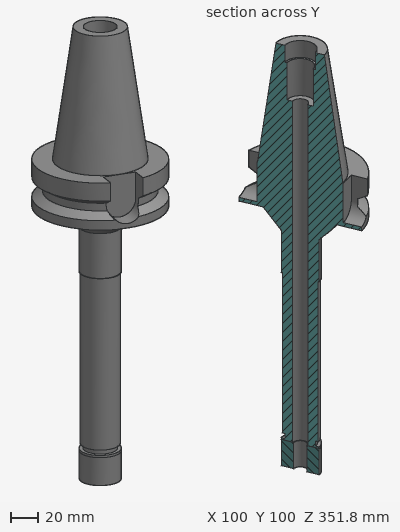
import cadquery as cq

TOTAL_HEIGHT = 351.8
NUT_HEIGHT = 21.8
COLLAR_TOP = 23.5
GROOVE_TOP = 27.5
SHAFT_TOP = 161.0
NECK_TOP = 196.3
FLANGE_BOTTOM = 212.0
FLANGE_TOP = 248.7
GAUGE_HEIGHT = 249.5

GAUGE_RADIUS = 35.0
TAPER_RATIO = 7 / 24
TOP_RADIUS = GAUGE_RADIUS - (TOTAL_HEIGHT - GAUGE_HEIGHT) * TAPER_RATIO / 2

FLANGE_RADIUS = 50.0
GRIP_RADIUS = 42.2
GRIP_FLOOR_BOTTOM = 224.0
GRIP_FLOOR_TOP = 230.0
GRIP_SIDE_SLOPE = 0.6
GRIP_SIDE_RISE = (FLANGE_RADIUS - GRIP_RADIUS) * GRIP_SIDE_SLOPE

SLOT_WIDTH = 25.7
SLOT_INNER_RADIUS = 35.2
SLOT_BOTTOM = 215.5

CONE_RADIUS = 30.3
NECK_RADIUS = 15.5
SHAFT_RADIUS = 14.8
GROOVE_RADIUS = 12.5

PULL_STUD_RADIUS = 12.3
PULL_STUD_DEPTH = 14.0
THREAD_RADIUS = 10.5
THREAD_DEPTH = 45.0
THROUGH_RADIUS = 6.0

NUT_RADIUS = 15.5
NUT_BORE_RADIUS = 5.3


def bore(radius, bottom, top):
    """Cylinder on the tool axis, used as a cutter."""
    return cq.Workplane("XY").workplane(offset=bottom).circle(radius).extrude(top - bottom)


def make_holder_blank():
    """Shank, flange, neck and shaft turned from one half profile."""
    profile = [
        (0, NUT_HEIGHT),
        (NUT_RADIUS, NUT_HEIGHT),
        (NUT_RADIUS, COLLAR_TOP),
        (GROOVE_RADIUS, COLLAR_TOP),
        (GROOVE_RADIUS, GROOVE_TOP),
        (SHAFT_RADIUS, GROOVE_TOP),
        (SHAFT_RADIUS, SHAFT_TOP),
        (NECK_RADIUS, SHAFT_TOP),
        (NECK_RADIUS, NECK_TOP),
        (CONE_RADIUS, FLANGE_BOTTOM),
        (FLANGE_RADIUS, FLANGE_BOTTOM),
        (FLANGE_RADIUS, GRIP_FLOOR_BOTTOM - GRIP_SIDE_RISE),
        (GRIP_RADIUS, GRIP_FLOOR_BOTTOM),
        (GRIP_RADIUS, GRIP_FLOOR_TOP),
        (FLANGE_RADIUS, GRIP_FLOOR_TOP + GRIP_SIDE_RISE),
        (FLANGE_RADIUS, FLANGE_TOP),
        (GAUGE_RADIUS, FLANGE_TOP),
        (GAUGE_RADIUS, GAUGE_HEIGHT),
        (TOP_RADIUS, TOTAL_HEIGHT),
        (0, TOTAL_HEIGHT),
    ]
    return cq.Workplane("XZ").polyline(profile).close().revolve(360, (0, 0, 0), (0, 1, 0))


def make_drive_slot(side):
    """Round-bottomed slot cutter; side is -1 for -X and +1 for +X."""
    half_width = SLOT_WIDTH / 2
    arc_center = SLOT_BOTTOM + half_width
    return (
        cq.Workplane("YZ")
        .workplane(offset=side * SLOT_INNER_RADIUS)
        .moveTo(-half_width, FLANGE_TOP)
        .lineTo(-half_width, arc_center)
        .threePointArc((0, SLOT_BOTTOM), (half_width, arc_center))
        .lineTo(half_width, FLANGE_TOP)
        .close()
        .extrude(side * FLANGE_RADIUS)
    )


def make_holder():
    holder = make_holder_blank()
    for side in (-1, 1):
        holder = holder.cut(make_drive_slot(side))
    holder = holder.cut(bore(PULL_STUD_RADIUS, TOTAL_HEIGHT - PULL_STUD_DEPTH, TOTAL_HEIGHT))
    holder = holder.cut(bore(THREAD_RADIUS, TOTAL_HEIGHT - THREAD_DEPTH, TOTAL_HEIGHT))
    return holder.cut(bore(THROUGH_RADIUS, NUT_HEIGHT, TOTAL_HEIGHT))


def make_nut():
    nut = bore(NUT_RADIUS, 0, NUT_HEIGHT)
    return nut.cut(bore(NUT_BORE_RADIUS, 0, NUT_HEIGHT))


holder = make_holder()
nut = make_nut()

result = cq.Compound.makeCompound([holder.val(), nut.val()])